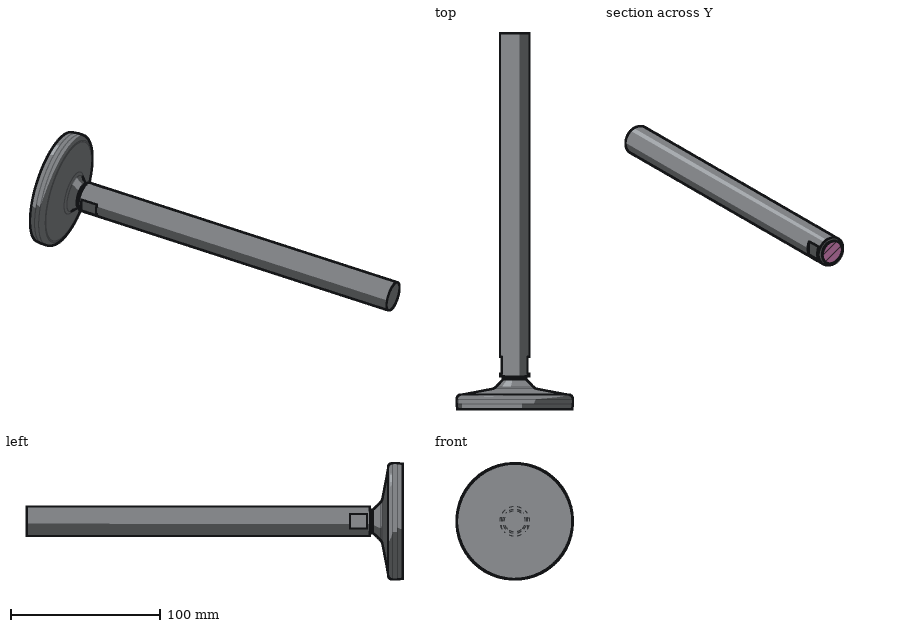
import cadquery as cq

overall_length = 252.0

foot_diameter = 78.0
base_diameter = 77.0
band_bottom = 3.8
band_top = 6.8
shoulder_radius = 3.3
cone_base_radius = 34.8
boss_base_radius = 13.5
boss_base_height = 14.0
collar_radius = 8.0
collar_bottom = 20.0
collar_top = 21.0
boss_fillet = 3.8
selection_margin = 0.3

stem_diameter = 20.0
stem_start = 22.2
neck_radius = 7.0
flat_spacing = 17.5
flat_start = 24.0
flat_length = 11.3


def make_foot():
    """Round foot: edge band, rounded shoulder, shallow cone and steep boss."""
    rim_radius = foot_diameter / 2
    shoulder_height = band_top + shoulder_radius
    profile = (
        cq.Workplane("XY")
        .lineTo(base_diameter / 2, 0)
        .lineTo(rim_radius, band_bottom)
        .lineTo(rim_radius, band_top)
        .radiusArc((rim_radius - shoulder_radius, shoulder_height), -shoulder_radius)
        .lineTo(cone_base_radius, shoulder_height)
        .lineTo(boss_base_radius, boss_base_height)
        .lineTo(collar_radius, collar_bottom)
        .lineTo(collar_radius, collar_top)
        .lineTo(0, collar_top)
        .close()
    )
    foot = profile.revolve(360, (0, 0, 0), (0, 1, 0))
    boss_corner = cq.selectors.BoxSelector(
        (-foot_diameter, boss_base_height - selection_margin, -foot_diameter),
        (foot_diameter, boss_base_height + selection_margin, foot_diameter),
    )
    return foot.edges(boss_corner).fillet(boss_fillet)


def make_stem():
    """Long rod with a thin neck resting on the collar and two wrench flats."""
    stem_radius = stem_diameter / 2
    stem = (
        cq.Workplane("XY")
        .moveTo(0, collar_top)
        .lineTo(neck_radius, collar_top)
        .lineTo(neck_radius, stem_start)
        .lineTo(stem_radius, stem_start)
        .lineTo(stem_radius, overall_length)
        .lineTo(0, overall_length)
        .close()
        .revolve(360, (0, 0, 0), (0, 1, 0))
    )
    for side in (-1, 1):
        cutter = cq.Workplane("XY").box(stem_diameter, flat_length, stem_diameter)
        cutter_x = side * (flat_spacing + stem_diameter) / 2
        stem = stem.cut(cutter.translate((cutter_x, flat_start + flat_length / 2, 0)))
    return stem


foot = make_foot()
stem = make_stem()

result = cq.Compound.makeCompound([foot.val(), stem.val()])